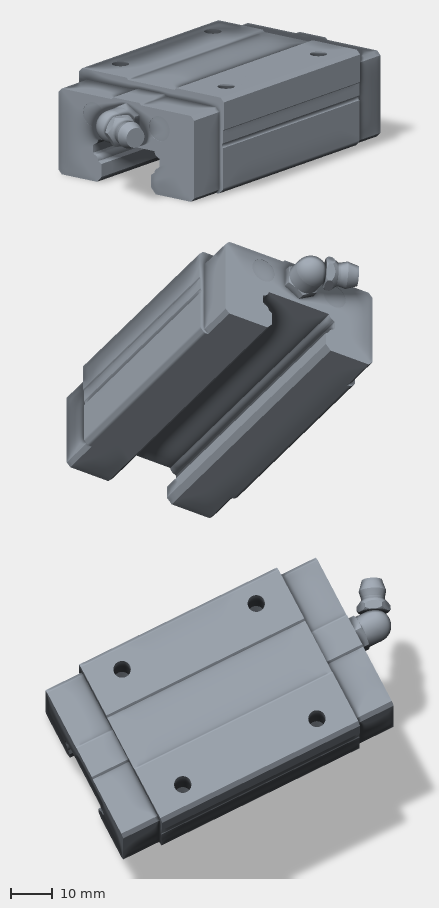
import cadquery as cq
import math


BLOCK_WIDTH = 44.0
BLOCK_HEIGHT = 24.0
BLOCK_LENGTH = 53.1
TOP_CHAMFER = 1.0
BOTTOM_CHAMFER = 1.2
BOTTOM_ROUND = 0.85
TOP_RELIEF_WIDTH = 15.1
TOP_RELIEF_DEPTH = 0.5
SIDE_STEP = 0.25
SIDE_STEP_HEIGHT = 15.8
SIDE_GROOVE_HEIGHT = 12.1
SIDE_GROOVE_WIDTH = 1.2
SIDE_GROOVE_DEPTH = 0.3

HOLE_DIAMETER = 4.15
HOLE_DEPTH = 10.0
HOLE_SPACING_X = 32.0
HOLE_SPACING_Y = 36.0
DRILL_POINT_ANGLE = 118

CAP_WIDTH = 41.2
CAP_HEIGHT = 21.35
CAP_LENGTH = 9.7
CAP_CHAMFER = 1.0
RIDGE_WIDTH = 9.0
RIDGE_HEIGHT = 0.5

SEAT_DIAMETER = 6.2
SEAT_SPACING = 20.0
SEAT_DEPTH = 0.1

MOUTH_HALF = 8.9
THROAT_HALF = 7.5
THROAT_BOTTOM = 1.4
THROAT_TOP = 4.7
GROOVE_HALF = 10.1
GROOVE_BOTTOM = 7.0
GROOVE_TOP = 9.0
ROOF_HALF = 8.5
ROOF_HEIGHT = 10.7
LOWER_LIP = [(8.5, 5.25), (8.9, 6.2), (9.65, 6.6)]
UPPER_LIP = [(9.65, 9.2), (8.9, 9.7), (ROOF_HALF, ROOF_HEIGHT)]

FITTING_HEIGHT = 16.5
BASE_HEX_FLATS = 8.0
BASE_HEX_LENGTH = 2.0
BASE_HEX_CHAMFER = 0.25
ELBOW_RADIUS = BASE_HEX_FLATS / 2
ELBOW_REACH = 5.3
ARM_ANGLE = 23.5
ARM_HEX_FLATS = 7.1
ARM_HEX_START = 3.4
ARM_HEX_CHAMFER = 0.5
ARM_HEX_TAPER_START = 4.8
NECK_START = 6.35
NECK_END = 6.95
NECK_RADIUS = 2.9
COLLAR_POSITION = 8.6
COLLAR_RADIUS = 3.3
TIP_POSITION = 11.35
TIP_RADIUS = 2.45

FRONT_FACE_Y = -(BLOCK_LENGTH / 2 + CAP_LENGTH)
HEX_CORNER_RATIO = 2 / math.sqrt(3)


def extrude_along_y(sketch, y_start, y_end):
    """Extrude a closed XZ outline between two Y positions."""
    return sketch.extrude(y_start - y_end).translate((0, y_start, 0))


def make_block():
    """Steel block with chamfered edges, a relieved top and stepped, grooved sides."""
    half = BLOCK_WIDTH / 2
    lower_half = half - SIDE_STEP
    relief_half = TOP_RELIEF_WIDTH / 2
    relief_floor = BLOCK_HEIGHT - TOP_RELIEF_DEPTH
    right_side = [
        (lower_half - BOTTOM_CHAMFER, 0),
        (lower_half, BOTTOM_CHAMFER),
        (lower_half, SIDE_STEP_HEIGHT),
        (half, SIDE_STEP_HEIGHT + SIDE_STEP),
        (half, BLOCK_HEIGHT - TOP_CHAMFER),
        (half - TOP_CHAMFER, BLOCK_HEIGHT),
        (relief_half, BLOCK_HEIGHT),
        (relief_half - TOP_RELIEF_DEPTH, relief_floor),
    ]
    left_side = [(-x, z) for x, z in reversed(right_side)]
    outline = cq.Workplane("XZ").polyline(right_side + left_side).close()
    block = extrude_along_y(outline, -BLOCK_LENGTH / 2, BLOCK_LENGTH / 2)
    chamfer_edges = cq.selectors.BoxSelector(
        (-half, -BLOCK_LENGTH, -BOTTOM_CHAMFER),
        (half, BLOCK_LENGTH, 2 * BOTTOM_CHAMFER),
    )
    block = block.edges("|Y").edges(chamfer_edges).fillet(BOTTOM_ROUND)

    half_chord = SIDE_GROOVE_WIDTH / 2
    radius = (half_chord**2 + SIDE_GROOVE_DEPTH**2) / (2 * SIDE_GROOVE_DEPTH)
    centre_x = lower_half - SIDE_GROOVE_DEPTH + radius
    for side in (-1, 1):
        circle = cq.Workplane("XZ").center(side * centre_x, SIDE_GROOVE_HEIGHT).circle(radius)
        block = block.cut(extrude_along_y(circle, -BLOCK_LENGTH / 2, BLOCK_LENGTH / 2))
    return block


def make_end_cap(y_start):
    """End cap with chamfered corners and a raised strip on top, starting at the given Y."""
    half = CAP_WIDTH / 2
    ridge_half = RIDGE_WIDTH / 2
    right_side = [
        (half - CAP_CHAMFER, 0),
        (half, CAP_CHAMFER),
        (half, CAP_HEIGHT - CAP_CHAMFER),
        (half - CAP_CHAMFER, CAP_HEIGHT),
        (ridge_half, CAP_HEIGHT),
        (ridge_half - RIDGE_HEIGHT, CAP_HEIGHT + RIDGE_HEIGHT),
    ]
    left_side = [(-x, z) for x, z in reversed(right_side)]
    outline = cq.Workplane("XZ").polyline(right_side + left_side).close()
    return extrude_along_y(outline, y_start, y_start + CAP_LENGTH)


def make_rail_channel():
    """Cutter for the rail opening: flared mouth, throat, and a groove between two rounded lips."""

    def mirrored(point):
        return (-point[0], point[1])

    outline = (
        cq.Workplane("XZ")
        .moveTo(-MOUTH_HALF, 0)
        .lineTo(MOUTH_HALF, 0)
        .lineTo(THROAT_HALF, THROAT_BOTTOM)
        .lineTo(THROAT_HALF, THROAT_TOP)
        .lineTo(*LOWER_LIP[0])
        .threePointArc(LOWER_LIP[1], LOWER_LIP[2])
        .lineTo(GROOVE_HALF, GROOVE_BOTTOM)
        .lineTo(GROOVE_HALF, GROOVE_TOP)
        .lineTo(*UPPER_LIP[0])
        .threePointArc(UPPER_LIP[1], UPPER_LIP[2])
        .lineTo(-ROOF_HALF, ROOF_HEIGHT)
        .threePointArc(mirrored(UPPER_LIP[1]), mirrored(UPPER_LIP[0]))
        .lineTo(-GROOVE_HALF, GROOVE_TOP)
        .lineTo(-GROOVE_HALF, GROOVE_BOTTOM)
        .lineTo(*mirrored(LOWER_LIP[2]))
        .threePointArc(mirrored(LOWER_LIP[1]), mirrored(LOWER_LIP[0]))
        .lineTo(-THROAT_HALF, THROAT_TOP)
        .lineTo(-THROAT_HALF, THROAT_BOTTOM)
        .close()
    )
    return extrude_along_y(outline, FRONT_FACE_Y, -FRONT_FACE_Y)


def make_drilled_hole():
    """Cutter for one blind hole with a conical bottom, its mouth at the origin and pointing down."""
    radius = HOLE_DIAMETER / 2
    point_depth = radius / math.tan(math.radians(DRILL_POINT_ANGLE / 2))
    profile = [(0, 0), (radius, 0), (radius, -HOLE_DEPTH), (0, -HOLE_DEPTH - point_depth)]
    return cq.Workplane("XZ").polyline(profile).close().revolve(360, (0, 0), (0, 1))


def make_carriage():
    """Block and both end caps as one body, with the rail channel, mounting holes and seats."""
    front_cap = make_end_cap(FRONT_FACE_Y)
    rear_cap = make_end_cap(BLOCK_LENGTH / 2)
    carriage = make_block().union(front_cap).union(rear_cap)
    carriage = carriage.cut(make_rail_channel())

    for x in (-HOLE_SPACING_X / 2, HOLE_SPACING_X / 2):
        for y in (-HOLE_SPACING_Y / 2, HOLE_SPACING_Y / 2):
            carriage = carriage.cut(make_drilled_hole().translate((x, y, BLOCK_HEIGHT)))

    for x in (-SEAT_SPACING / 2, SEAT_SPACING / 2):
        seat = cq.Workplane("XZ").center(x, FITTING_HEIGHT).circle(SEAT_DIAMETER / 2)
        carriage = carriage.cut(extrude_along_y(seat, FRONT_FACE_Y, FRONT_FACE_Y + SEAT_DEPTH))
    return carriage


def make_chamfered_hex(flats, start, end, profile):
    """Hexagonal prism along +X with corners on +-Y, trimmed by revolving a profile about X."""
    prism = (
        cq.Workplane("YZ")
        .polygon(6, flats * HEX_CORNER_RATIO)
        .extrude(end - start)
        .translate((start, 0, 0))
    )
    trim = cq.Workplane("XY").polyline(profile).close().revolve(360, (0, 0), (1, 0))
    return prism.intersect(trim)


def make_fitting_base():
    """Hexagon against the cap and the ball-ended stem, running along +X from the cap face."""
    corner = BASE_HEX_FLATS / 2 * HEX_CORNER_RATIO
    hex_profile = [
        (0, 0),
        (0, corner),
        (BASE_HEX_LENGTH - BASE_HEX_CHAMFER, corner),
        (BASE_HEX_LENGTH, ELBOW_RADIUS),
        (BASE_HEX_LENGTH, 0),
    ]
    hexagon = make_chamfered_hex(BASE_HEX_FLATS, 0, BASE_HEX_LENGTH, hex_profile)
    hexagon = hexagon.rotate((0, 0, 0), (1, 0, 0), 90)

    arc_offset = ELBOW_RADIUS * math.sin(math.radians(45))
    stem = (
        cq.Workplane("XY")
        .lineTo(0, ELBOW_RADIUS)
        .lineTo(ELBOW_REACH, ELBOW_RADIUS)
        .threePointArc((ELBOW_REACH + arc_offset, arc_offset), (ELBOW_REACH + ELBOW_RADIUS, 0))
        .close()
        .revolve(360, (0, 0), (1, 0))
    )
    return hexagon.union(stem)


def make_fitting_arm():
    """Hexagon, neck and tapered nozzle running along +X from the elbow ball."""
    corner = ARM_HEX_FLATS / 2 * HEX_CORNER_RATIO
    hex_profile = [
        (ARM_HEX_START, 0),
        (ARM_HEX_START, corner - ARM_HEX_CHAMFER),
        (ARM_HEX_START + ARM_HEX_CHAMFER, corner),
        (ARM_HEX_TAPER_START, corner),
        (NECK_START, NECK_RADIUS),
        (NECK_START, 0),
    ]
    hexagon = make_chamfered_hex(ARM_HEX_FLATS, ARM_HEX_START, NECK_START, hex_profile)
    nozzle_profile = [
        (NECK_START, 0),
        (NECK_START, NECK_RADIUS),
        (NECK_END, NECK_RADIUS),
        (COLLAR_POSITION, COLLAR_RADIUS),
        (TIP_POSITION, TIP_RADIUS),
        (TIP_POSITION, 0),
    ]
    nozzle = cq.Workplane("XY").polyline(nozzle_profile).close().revolve(360, (0, 0), (1, 0))
    return hexagon.union(nozzle)


def make_grease_fitting():
    """Arm joined to the base at the ball centre, then turned to point out of the front cap."""
    arm = make_fitting_arm().rotate((0, 0, 0), (0, 0, 1), 90 - ARM_ANGLE)
    fitting = make_fitting_base().union(arm.translate((ELBOW_REACH, 0, 0)))
    fitting = fitting.rotate((0, 0, 0), (0, 0, 1), -90)
    return fitting.translate((0, FRONT_FACE_Y, FITTING_HEIGHT))


carriage = make_carriage()
grease_fitting = make_grease_fitting()
result = cq.Compound.makeCompound([carriage.val(), grease_fitting.val()])